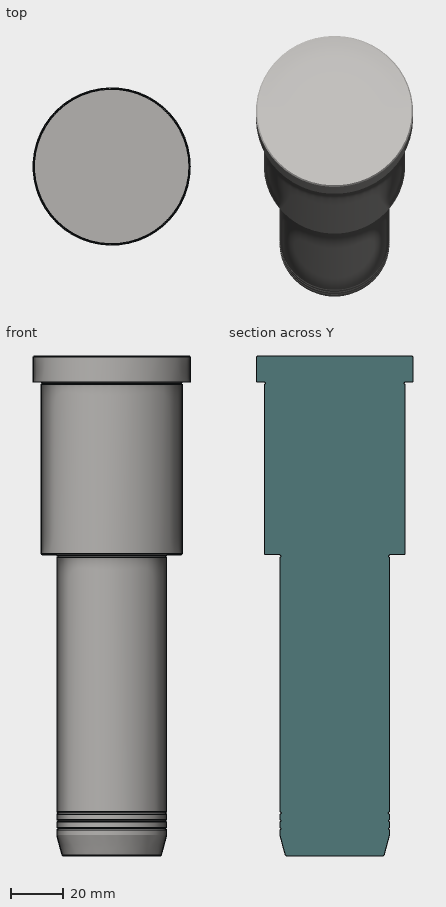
import cadquery as cq
import math

total_length = 191.0
head_diameter = 60.0
head_height = 10.0
head_edge_chamfer = 0.5
body_diameter = 54.0
body_end_depth = 76.0
body_edge_chamfer = 0.5
shank_diameter = 42.0

relief_width = 1.0

groove_count = 3
groove_width = 1.0
groove_pitch = 3.0
first_groove_height = 10.5

tip_taper_angle = 15.0
tip_height = 8.0
tip_edge_chamfer = 0.5

head_radius = head_diameter / 2
body_radius = body_diameter / 2
shank_radius = shank_diameter / 2
tip_radius = shank_radius - (tip_height - tip_edge_chamfer) * math.tan(math.radians(tip_taper_angle))
head_bottom = total_length - head_height
body_bottom = total_length - body_end_depth


def cylinder(radius, bottom, top):
    """Cylinder on the Z axis between two heights."""
    return cq.Workplane("XY").workplane(offset=bottom).circle(radius).extrude(top - bottom)


def v_groove(outer_radius, width, centre):
    """V-shaped ring with 45 degree flanks, to cut from a cylinder of the given radius."""
    half_width = width / 2
    return (
        cq.Workplane("XZ")
        .moveTo(outer_radius, centre - half_width)
        .lineTo(outer_radius, centre + half_width)
        .lineTo(outer_radius - half_width, centre)
        .close()
        .revolve(360, (0, 0, 0), (0, 1, 0))
    )


def make_head():
    return cylinder(head_radius, head_bottom, total_length).faces(">Z").edges().chamfer(head_edge_chamfer)


def make_body():
    body = cylinder(body_radius, body_bottom, head_bottom)
    body = body.faces("<Z").edges().chamfer(body_edge_chamfer)
    return body.cut(v_groove(body_radius, relief_width, head_bottom - relief_width / 2))


def make_shank():
    shank = (
        cq.Workplane("XZ")
        .lineTo(tip_radius - tip_edge_chamfer, 0)
        .lineTo(tip_radius, tip_edge_chamfer)
        .lineTo(shank_radius, tip_height)
        .lineTo(shank_radius, body_bottom)
        .lineTo(0, body_bottom)
        .close()
        .revolve(360, (0, 0, 0), (0, 1, 0))
    )
    for index in range(groove_count):
        centre = first_groove_height + index * groove_pitch
        shank = shank.cut(v_groove(shank_radius, groove_width, centre))
    return shank.cut(v_groove(shank_radius, relief_width, body_bottom - relief_width / 2))


result = make_head().union(make_body()).union(make_shank())